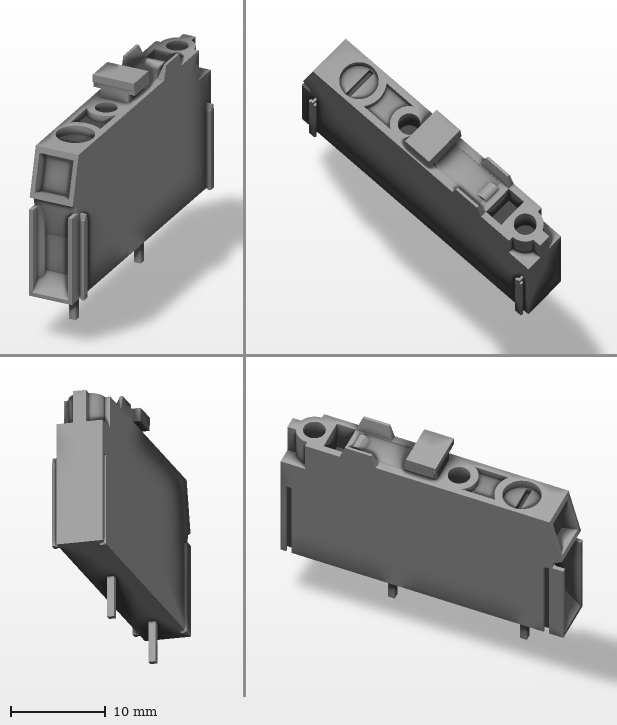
import cadquery as cq
import math


LENGTH = 32.6
WIDTH = 5.1
HEIGHT = 17.0
HALF_WIDTH = WIDTH / 2

FACE_TOP_Y = 1.6
NOSE_Y = 0.15
NOSE_Z = 11.48
UNDERCUT_Y = 1.1
UNDERCUT_Z = 11.0
CHEEK_TOP = 10.15

WINDOW_HALF_WIDTH = 2.02
WINDOW_TOP = 16.3
WINDOW_BOTTOM = 12.05
WINDOW_DEPTH = 1.9

CHEEK_THICKNESS = 0.45
ENTRY_FLOOR = 0.45
ENTRY_FLOOR_BACK = 2.3
ENTRY_CEILING_BACK = 6.62
ENTRY_BACK_Y = 2.05
TAPER_START_Y = 1.1
TAPER_END_Y = 1.55
TAPER_X = -1.5

CEILING_LEAN = (ENTRY_BACK_Y - UNDERCUT_Y) / (UNDERCUT_Z - ENTRY_CEILING_BACK)
NOTCH_BACK_Y = UNDERCUT_Y + CEILING_LEAN * (UNDERCUT_Z - CHEEK_TOP)

TOWER_HEIGHT = 3.52
TOWER_RADIUS = 1.95
TOWER_TAB_WIDTH = 1.45
REAR_HOLE_Y = 29.8

TEST_HOLE_RADIUS = 1.2
TEST_HOLE_DEPTH = TOWER_HEIGHT
MIDDLE_HOLE_Y = 13.1
POCKET_WIDTH = 3.55
REAR_POCKET_FRONT = 25.8
REAR_POCKET_BACK = 27.97
REAR_POCKET_DEPTH = TOWER_HEIGHT
MIDDLE_POCKET_DEPTH = 0.85
MIDDLE_HOLE_WALL_RADIUS = 2.05
SCREW_WALL_RADIUS = 2.95

FLAP_HEIGHT = 1.6
FLAP_BASE_FRONT = 21.65
FLAP_BASE_BACK = 25.8
FLAP_TOP_FRONT = 22.17
FLAP_TOP_BACK = 25.2
FLAP_BASE_THICKNESS = 0.78
FLAP_TOP_THICKNESS = 0.3

RAIL_CENTERS_Y = (2.0, 31.7)
RAIL_TOP = 9.9
RAIL_REACH = 0.65
RAIL_WEB_WIDTH = 0.42
RAIL_HEAD_TOP = 9.32
RAIL_HEAD_START = 0.25
RAIL_HEAD_INNER_WIDTH = 0.72
RAIL_HEAD_WIDTH = 0.98
RAIL_HEAD_TIP_WIDTH = 0.78
RAIL_LEAD_IN = 0.15
SLOT_CLEARANCE = 0.05
SLOT_MOUTH_WIDTH = 0.65
SLOT_THROAT_WIDTH = 0.5

LEVER_WIDTH = 3.33
LEVER_PLATE_TOP = 16.9
LEVER_PLATE_THICKNESS = 0.8
LEVER_BACK_Y = 24.7
LEVER_NECK_FRONT_Y = 15.0
LEVER_HEAD_WIDTH = 4.9
LEVER_HEAD_BOTTOM = 18.05
LEVER_LIP_BOTTOM = 18.75
LEVER_TOP = 19.6
LEVER_LIP_FRONT_Y = 14.77
LEVER_HEAD_BACK_Y = 18.2
LEVER_BACK_LEAN = math.radians(6)
LEVER_FILLET = 0.8
BUMP_WIDTH = 1.95
BUMP_FRONT_Y = 23.7
BUMP_RAMP_TOP_Y = 24.3
BUMP_RAMP_TOP_Z = 17.38
BUMP_CREST_Y = 24.58
BUMP_CREST_Z = 17.47
BUMP_BACK_Y = 25.1

SCREW_Y = 5.87
SCREW_HOLE_RADIUS = 2.1
SCREW_RADIUS = 2.0
SCREW_TOP_DEPTH = 1.05
SCREW_LENGTH = 1.95
SCREW_SLOT_WIDTH = 0.62
SCREW_SLOT_DEPTH = 0.8

PIN_CENTERS_Y = (5.55, 20.75)
PIN_SIZE = 0.78
PIN_LENGTH = 4.5


def side_profile(points, x_start, x_end):
    """Prism with the given (Y, Z) outline between two X positions."""
    return cq.Workplane("YZ", origin=(x_start, 0, 0)).polyline(points).close().extrude(x_end - x_start)


def block(x_range, y_range, z_range):
    """Box spanning the given X, Y and Z ranges."""
    size = [high - low for low, high in (x_range, y_range, z_range)]
    corner = (x_range[0], y_range[0], z_range[0])
    return cq.Workplane("XY").box(*size, centered=False).translate(corner)


def cylinder_down(y, radius, top, depth):
    """Vertical cylinder on the middle plane, hanging down from the given height."""
    return cq.Workplane("XY", origin=(0, y, top - depth)).circle(radius).extrude(depth)


def housing_block():
    outline = [
        (0, 0),
        (LENGTH, 0),
        (LENGTH, HEIGHT),
        (FACE_TOP_Y, HEIGHT),
        (NOSE_Y, NOSE_Z),
        (UNDERCUT_Y, UNDERCUT_Z),
        (NOTCH_BACK_Y, CHEEK_TOP),
        (0, CHEEK_TOP),
    ]
    return side_profile(outline, -HALF_WIDTH, HALF_WIDTH)


def front_window():
    slope = (FACE_TOP_Y - NOSE_Y) / (HEIGHT - NOSE_Z)
    tilt = math.atan(slope)
    step_y = WINDOW_DEPTH * math.cos(tilt)
    step_z = WINDOW_DEPTH * math.sin(tilt)
    bottom_y = NOSE_Y + slope * (WINDOW_BOTTOM - NOSE_Z)
    top_y = NOSE_Y + slope * (WINDOW_TOP - NOSE_Z)
    outline = [
        (bottom_y, WINDOW_BOTTOM),
        (top_y, WINDOW_TOP),
        (top_y + step_y, WINDOW_TOP - step_z),
        (bottom_y + step_y, WINDOW_BOTTOM - step_z),
    ]
    return side_profile(outline, -WINDOW_HALF_WIDTH, WINDOW_HALF_WIDTH)


def wire_entry():
    outline = [
        (0, ENTRY_FLOOR),
        (ENTRY_BACK_Y, ENTRY_FLOOR_BACK),
        (ENTRY_BACK_Y, ENTRY_CEILING_BACK),
        (NOTCH_BACK_Y, CHEEK_TOP),
        (0, CHEEK_TOP),
    ]
    inner_x = HALF_WIDTH - CHEEK_THICKNESS
    plan = [
        (-inner_x, 0),
        (inner_x, 0),
        (inner_x, ENTRY_BACK_Y),
        (TAPER_X, ENTRY_BACK_Y),
        (TAPER_X, TAPER_END_Y),
        (-inner_x, TAPER_START_Y),
    ]
    plan_prism = cq.Workplane("XY").polyline(plan).close().extrude(HEIGHT)
    return side_profile(outline, -inner_x, inner_x).intersect(plan_prism)


def tower_surround():
    """Material removed around the rear tower."""
    z_range = (HEIGHT - TOWER_HEIGHT, HEIGHT)
    surround = block((-HALF_WIDTH, HALF_WIDTH), (REAR_HOLE_Y, LENGTH), z_range)
    tab = block((-TOWER_TAB_WIDTH / 2, TOWER_TAB_WIDTH / 2), (REAR_HOLE_Y, LENGTH), z_range)
    return surround.cut(cylinder_down(REAR_HOLE_Y, TOWER_RADIUS, HEIGHT, TOWER_HEIGHT)).cut(tab)


def rear_pocket():
    return block(
        (-POCKET_WIDTH / 2, POCKET_WIDTH / 2),
        (REAR_POCKET_FRONT, REAR_POCKET_BACK),
        (HEIGHT - REAR_POCKET_DEPTH, HEIGHT),
    )


def middle_pocket():
    """Shallow pocket bounded by round walls about the middle test hole and the screw."""
    pocket = block(
        (-POCKET_WIDTH / 2, POCKET_WIDTH / 2),
        (SCREW_Y, MIDDLE_HOLE_Y),
        (HEIGHT - MIDDLE_POCKET_DEPTH, HEIGHT),
    )
    pocket = pocket.cut(cylinder_down(MIDDLE_HOLE_Y, MIDDLE_HOLE_WALL_RADIUS, HEIGHT, MIDDLE_POCKET_DEPTH))
    return pocket.cut(cylinder_down(SCREW_Y, SCREW_WALL_RADIUS, HEIGHT, MIDDLE_POCKET_DEPTH))


def guard_flap():
    """Flap on the -X edge, with sloping ends and a sloping inner side."""
    top = HEIGHT + FLAP_HEIGHT
    side_outline = [
        (FLAP_BASE_FRONT, HEIGHT),
        (FLAP_BASE_BACK, HEIGHT),
        (FLAP_TOP_BACK, top),
        (FLAP_TOP_FRONT, top),
    ]
    end_outline = [
        (-HALF_WIDTH, HEIGHT),
        (-HALF_WIDTH + FLAP_BASE_THICKNESS, HEIGHT),
        (-HALF_WIDTH + FLAP_TOP_THICKNESS, top),
        (-HALF_WIDTH, top),
    ]
    end_prism = cq.Workplane("XZ").polyline(end_outline).close().extrude(-LENGTH)
    return side_profile(side_outline, -HALF_WIDTH, 0).intersect(end_prism)


def rail(y):
    """T-shaped rail on the +X side; its web ends in a sloping lead-in at the top."""
    half_web = RAIL_WEB_WIDTH / 2
    web_outline = [
        (y - half_web, 0),
        (y + half_web, 0),
        (y + half_web, RAIL_TOP),
        (y - half_web + RAIL_LEAD_IN, RAIL_TOP),
        (y - half_web, RAIL_HEAD_TOP),
    ]
    web = side_profile(web_outline, HALF_WIDTH, HALF_WIDTH + RAIL_REACH)
    inner_x = HALF_WIDTH + RAIL_HEAD_START
    tip_x = HALF_WIDTH + RAIL_REACH
    middle_x = (inner_x + tip_x) / 2
    head_half_outline = [
        (inner_x, RAIL_HEAD_INNER_WIDTH / 2),
        (middle_x, RAIL_HEAD_WIDTH / 2),
        (tip_x, RAIL_HEAD_TIP_WIDTH / 2),
    ]
    mirrored = [(x, -half) for x, half in reversed(head_half_outline)]
    head = cq.Workplane("XY", origin=(0, y, 0)).polyline(head_half_outline + mirrored).close()
    return web.union(head.extrude(RAIL_HEAD_TOP))


def rail_slot(y):
    """Slot in the -X side that takes the rail of a neighbouring housing."""
    face_x = -HALF_WIDTH
    throat_x = face_x + RAIL_HEAD_START - SLOT_CLEARANCE
    floor_x = face_x + RAIL_REACH + SLOT_CLEARANCE
    chamber_half = RAIL_HEAD_WIDTH / 2 + SLOT_CLEARANCE
    half_outline = [
        (face_x, SLOT_MOUTH_WIDTH / 2),
        (throat_x, SLOT_THROAT_WIDTH / 2),
        (throat_x, chamber_half),
        (floor_x, chamber_half),
    ]
    mirrored = [(x, -half) for x, half in reversed(half_outline)]
    return cq.Workplane("XY", origin=(0, y, 0)).polyline(half_outline + mirrored).close().extrude(RAIL_TOP)


def lever_plate(top):
    """Sliding plate of the lever, up to the given height; also the shape of its channel."""
    return block(
        (-LEVER_WIDTH / 2, LEVER_WIDTH / 2),
        (LEVER_NECK_FRONT_Y, LEVER_BACK_Y),
        (LEVER_PLATE_TOP - LEVER_PLATE_THICKNESS, top),
    )


def make_housing():
    body = housing_block()
    body = body.cut(front_window()).cut(wire_entry()).cut(tower_surround())
    for y in (REAR_HOLE_Y, MIDDLE_HOLE_Y):
        body = body.cut(cylinder_down(y, TEST_HOLE_RADIUS, HEIGHT, TEST_HOLE_DEPTH))
    body = body.cut(rear_pocket()).cut(middle_pocket())
    screw_hole_depth = SCREW_TOP_DEPTH + SCREW_LENGTH
    body = body.cut(cylinder_down(SCREW_Y, SCREW_RADIUS, HEIGHT, screw_hole_depth))
    body = body.cut(cylinder_down(SCREW_Y, SCREW_HOLE_RADIUS, HEIGHT, SCREW_TOP_DEPTH))
    flap = guard_flap()
    body = body.union(flap).union(flap.mirror("YZ"))
    for y in RAIL_CENTERS_Y:
        body = body.union(rail(y)).cut(rail_slot(y))
    return body.cut(lever_plate(HEIGHT + FLAP_HEIGHT))


def lever_back_y(z):
    """Y position of the leaning back face of the lever's head and neck at the given height."""
    return LEVER_HEAD_BACK_Y + (LEVER_TOP - z) * math.tan(LEVER_BACK_LEAN)


def lever_neck():
    """Upright neck that blends into the plate with a concave fillet at its back."""
    center_z = LEVER_PLATE_TOP + LEVER_FILLET
    center_y = lever_back_y(center_z) + LEVER_FILLET / math.cos(LEVER_BACK_LEAN)

    def fillet_point(angle):
        """Point of the fillet at an angle below the horizontal through its center."""
        return (center_y - LEVER_FILLET * math.cos(angle), center_z - LEVER_FILLET * math.sin(angle))

    flat_angle = math.pi / 2
    neck = (
        cq.Workplane("YZ", origin=(-LEVER_WIDTH / 2, 0, 0))
        .moveTo(LEVER_NECK_FRONT_Y, LEVER_PLATE_TOP)
        .lineTo(*fillet_point(flat_angle))
        .threePointArc(fillet_point((flat_angle + LEVER_BACK_LEAN) / 2), fillet_point(LEVER_BACK_LEAN))
        .lineTo(LEVER_HEAD_BACK_Y, LEVER_TOP)
        .lineTo(LEVER_NECK_FRONT_Y, LEVER_TOP)
        .close()
    )
    return neck.extrude(LEVER_WIDTH)


def lever_head():
    """Wide thumb piece with a lip along its front edge."""
    outline = [
        (LEVER_NECK_FRONT_Y, LEVER_HEAD_BOTTOM),
        (lever_back_y(LEVER_HEAD_BOTTOM), LEVER_HEAD_BOTTOM),
        (LEVER_HEAD_BACK_Y, LEVER_TOP),
        (LEVER_LIP_FRONT_Y, LEVER_TOP),
        (LEVER_LIP_FRONT_Y, LEVER_LIP_BOTTOM),
        (LEVER_NECK_FRONT_Y, LEVER_LIP_BOTTOM),
    ]
    return side_profile(outline, -LEVER_HEAD_WIDTH / 2, LEVER_HEAD_WIDTH / 2)


def lever_bump():
    """Latch bump at the back end of the plate: a front ramp and a rounded back resting on the housing."""
    bump = (
        cq.Workplane("YZ", origin=(-BUMP_WIDTH / 2, 0, 0))
        .moveTo(BUMP_FRONT_Y, LEVER_PLATE_TOP)
        .lineTo(BUMP_RAMP_TOP_Y, BUMP_RAMP_TOP_Z)
        .threePointArc((BUMP_CREST_Y, BUMP_CREST_Z), (BUMP_BACK_Y, HEIGHT))
        .lineTo(LEVER_BACK_Y, HEIGHT)
        .lineTo(LEVER_BACK_Y, LEVER_PLATE_TOP)
        .close()
    )
    return bump.extrude(BUMP_WIDTH)


def make_lever():
    return lever_plate(LEVER_PLATE_TOP).union(lever_neck()).union(lever_head()).union(lever_bump())


def make_screw():
    top = HEIGHT - SCREW_TOP_DEPTH
    slot = block(
        (-SCREW_RADIUS, SCREW_RADIUS),
        (SCREW_Y - SCREW_SLOT_WIDTH / 2, SCREW_Y + SCREW_SLOT_WIDTH / 2),
        (top - SCREW_SLOT_DEPTH, top),
    )
    return cylinder_down(SCREW_Y, SCREW_RADIUS, top, SCREW_LENGTH).cut(slot)


def make_pin(y):
    half = PIN_SIZE / 2
    return block((-half, half), (y - half, y + half), (-PIN_LENGTH, 0))


housing = make_housing()
lever = make_lever()
screw = make_screw()
pins = [make_pin(y) for y in PIN_CENTERS_Y]

result = cq.Compound.makeCompound(
    [
        *housing.solids().vals(),
        *lever.solids().vals(),
        *screw.solids().vals(),
        *[pin.val() for pin in pins],
    ]
)